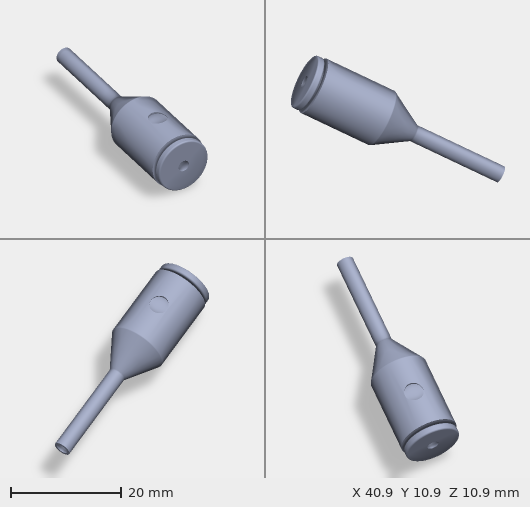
import cadquery as cq

length = 40.9
tube_end = -length / 2
collar_end = length / 2
cone_start = tube_end + 18.15
body_start = tube_end + 24.8
body_end = tube_end + 38.95
collar_start = tube_end + 39.55

body_radius = 10.9 / 2
tube_radius = 1.6
bore_radius = 1.1
neck_radius = 3.8
collar_radius = 5.25

cone_root_fillet = 0.33
cone_rim_fillet = 0.33
collar_fillet = 0.3

recess_radius = 3.55 / 2
recess_x = 11.57
recess_floor = 5.03


def cylinder(start, end, radius):
    """Solid cylinder on the X axis between two stations."""
    return cq.Workplane("YZ").workplane(offset=start).circle(radius).extrude(end - start)


def make_body():
    """Tube stem, cone and main barrel as one revolved outline."""
    outline = (
        cq.Workplane("XY")
        .moveTo(tube_end, 0)
        .lineTo(tube_end, tube_radius)
        .lineTo(cone_start, tube_radius)
        .lineTo(body_start, body_radius)
        .lineTo(body_end, body_radius)
        .lineTo(body_end, 0)
        .close()
    )
    body = outline.revolve(360, (0, 0, 0), (1, 0, 0))
    margin = 0.2
    root_edge = cq.selectors.BoxSelector(
        (cone_start - margin, -body_radius, -body_radius),
        (cone_start + margin, body_radius, body_radius),
    )
    rim_edge = cq.selectors.BoxSelector(
        (body_start - margin, -body_radius, -body_radius),
        (body_start + margin, body_radius, body_radius),
    )
    body = body.edges(root_edge).fillet(cone_root_fillet)
    return body.edges(rim_edge).fillet(cone_rim_fillet)


def make_collar():
    """Release collar with both outer rims rounded."""
    collar = cylinder(collar_start, collar_end, collar_radius)
    return collar.edges("%CIRCLE").fillet(collar_fillet)


def make_recess():
    """Cutter for the flat-bottomed round recess."""
    top = cq.Workplane("XY").workplane(offset=recess_floor).center(recess_x, 0)
    return top.circle(recess_radius).extrude(body_radius)


neck = cylinder(body_end, collar_start, neck_radius)
bore = cylinder(tube_end, collar_end, bore_radius)
result = make_body().union(neck).union(make_collar()).cut(bore).cut(make_recess())